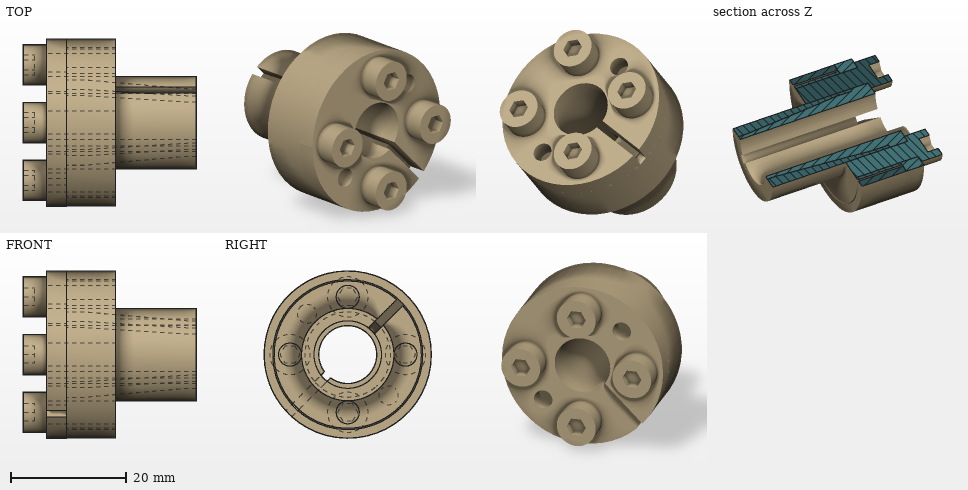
import cadquery as cq
import math


flange_start = 4.0
flange_end = 7.5
cone_start = 10.7
collar_end = 16.0
sleeve_end = 30.0

outer_radius = 14.5
bore_radius = 5.0
sleeve_radius = 8.0
cone_start_radius = 7.4
cone_end_radius = 5.85
cone_angle = 5.0
collar_radius = 12.75
spacer_bore_radius = 13.0

slit_width = 1.5
inner_slit_angle = 225.0
outer_slit_angle = 45.0

bolt_circle_radius = 10.0
screw_count = 4
head_radius = 3.5
shank_radius = 2.0
socket_width = 3.0
socket_depth = 2.0
jacking_hole_radius = 1.65
jacking_angles = (135.0, 315.0)

cone_end = cone_start + (cone_start_radius - cone_end_radius) / math.tan(math.radians(cone_angle))
screw_angles = [index * 360.0 / screw_count for index in range(screw_count)]


def plane_at(x):
    """Plane facing +X, with local axes along Y and Z."""
    return cq.Workplane("YZ", origin=(x, 0, 0))


def cylinder(radius, start, end):
    return plane_at(start).circle(radius).extrude(end - start)


def bolt_circle_points(angles):
    return [
        (
            bolt_circle_radius * math.cos(math.radians(angle)),
            bolt_circle_radius * math.sin(math.radians(angle)),
        )
        for angle in angles
    ]


def bolt_circle_holes(radius, angles, start, end):
    points = bolt_circle_points(angles)
    return plane_at(start).pushPoints(points).circle(radius).extrude(end - start)


def tapered_core():
    """Core shared by the sleeves: a cylinder, a taper and a thinner cylinder."""
    profile = [
        (flange_end, 0),
        (flange_end, cone_start_radius),
        (cone_start, cone_start_radius),
        (cone_end, cone_end_radius),
        (sleeve_end, cone_end_radius),
        (sleeve_end, 0),
    ]
    return cq.Workplane("XY").polyline(profile).close().revolve(360, (0, 0, 0), (1, 0, 0))


def slit(angle):
    """Radial slab from the axis outward, over the full length of the sleeves."""
    slab = (
        plane_at(flange_start)
        .center(outer_radius, 0)
        .rect(2 * outer_radius, slit_width)
        .extrude(sleeve_end - flange_start)
    )
    return slab.rotate((0, 0, 0), (1, 0, 0), angle)


def make_inner_sleeve():
    """Clamp flange with a slit tapered collet."""
    body = cylinder(outer_radius, flange_start, flange_end).union(tapered_core())
    body = body.cut(cylinder(bore_radius, flange_start, sleeve_end))
    body = body.cut(bolt_circle_holes(shank_radius, screw_angles, flange_start, flange_end))
    body = body.cut(bolt_circle_holes(jacking_hole_radius, jacking_angles, flange_start, flange_end))
    return body.cut(slit(inner_slit_angle))


def make_outer_sleeve():
    """Slit sleeve with a tapered bore and a collar that takes the screws."""
    collar = cylinder(collar_radius, flange_end, collar_end)
    body = collar.union(cylinder(sleeve_radius, flange_end, sleeve_end))
    body = body.cut(tapered_core())
    body = body.cut(bolt_circle_holes(shank_radius, screw_angles, flange_end, collar_end))
    return body.cut(slit(outer_slit_angle))


def make_spacer_ring():
    """Loose ring around the collar of the outer sleeve."""
    ring = cylinder(outer_radius, flange_end, collar_end)
    return ring.cut(cylinder(spacer_bore_radius, flange_end, collar_end))


def make_screw(center):
    """Socket head screw that ends flush with the rear of the collar."""
    head = cylinder(head_radius, 0, flange_start)
    shank = cylinder(shank_radius, flange_start, collar_end)
    socket_corner_diameter = socket_width / math.cos(math.pi / 6)
    socket = plane_at(0).polygon(6, socket_corner_diameter).extrude(socket_depth)
    screw = head.union(shank).cut(socket)
    return screw.translate((0, *center))


inner_sleeve = make_inner_sleeve()
outer_sleeve = make_outer_sleeve()
spacer_ring = make_spacer_ring()
screws = [make_screw(center) for center in bolt_circle_points(screw_angles)]

result = cq.Compound.makeCompound(
    [
        inner_sleeve.val(),
        outer_sleeve.val(),
        spacer_ring.val(),
        *[screw.val() for screw in screws],
    ]
)